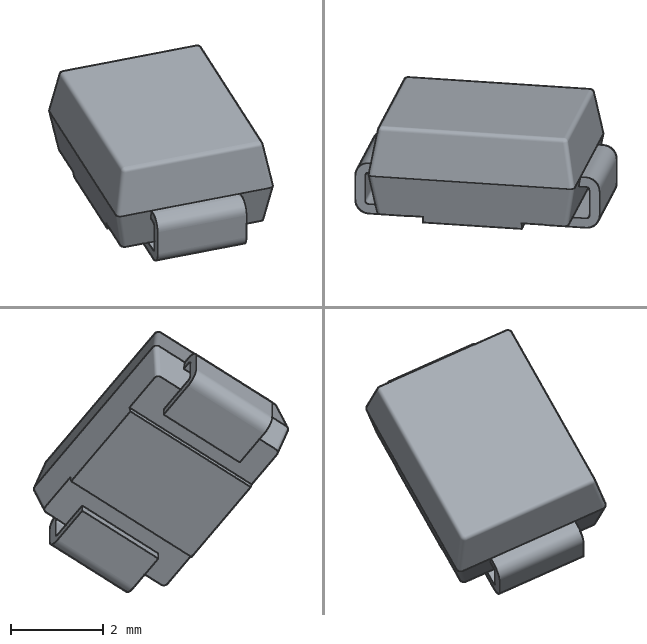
import cadquery as cq
import math

overall_length = 5.4
overall_height = 2.25

body_length = 4.56
body_width = 3.62
parting_z = 1.17
draft_angle = 10.0
edge_radius = 0.1

pad_length = 2.18
pad_bottom_z = 0.1
step_z = 0.245

lead_width = 2.045
lead_thickness = 0.22
lead_outer_radius = 0.3
lead_inner_radius = lead_outer_radius - lead_thickness
lead_foot_length = 1.2
lead_embed_depth = 0.325


def drafted_half(height):
    """Rectangular block narrowing upward from Z = 0."""
    return (
        cq.Workplane("XY")
        .rect(body_length, body_width)
        .extrude(height, taper=draft_angle)
    )


def upper_half():
    """Top of the body, rounded on its corner edges and top rim."""
    half = drafted_half(overall_height - parting_z)
    half = half.edges("not (<Z)").fillet(edge_radius)
    return half.translate((0, 0, parting_z))


def lower_half():
    """Bottom of the body, rounded on its corner edges and stepped up at both ends."""
    half = drafted_half(parting_z - pad_bottom_z)
    half = half.edges("not (|X or |Y)").fillet(edge_radius)
    half = half.mirror("XY").translate((0, 0, parting_z))
    step_length = (body_length - pad_length) / 2
    for side in (-1, 1):
        step_cutter = cq.Workplane("XY").box(
            step_length, body_width, step_z, centered=(True, True, False)
        )
        half = half.cut(step_cutter.translate((side * (pad_length + step_length) / 2, 0, 0)))
    return half


def left_lead():
    """C-shaped strip: leaves the body below the parting plane and folds under it."""
    outer_x = -overall_length / 2
    inner_x = outer_x + lead_thickness
    embedded_x = -body_length / 2 + lead_embed_depth
    foot_x = outer_x + lead_foot_length
    arm_bottom_z = parting_z - lead_thickness

    def bend(center_x, center_z, radius, z_direction):
        """Midpoint of a quarter bend on the outer (-X) side."""
        offset = radius * math.sqrt(0.5)
        return (center_x - offset, center_z + z_direction * offset)

    bend_x = outer_x + lead_outer_radius
    upper_bend_z = parting_z - lead_outer_radius
    lower_bend_z = lead_outer_radius
    return (
        cq.Workplane("XZ")
        .moveTo(embedded_x, parting_z)
        .lineTo(bend_x, parting_z)
        .threePointArc(bend(bend_x, upper_bend_z, lead_outer_radius, 1), (outer_x, upper_bend_z))
        .lineTo(outer_x, lower_bend_z)
        .threePointArc(bend(bend_x, lower_bend_z, lead_outer_radius, -1), (bend_x, 0))
        .lineTo(foot_x, 0)
        .lineTo(foot_x, lead_thickness)
        .lineTo(bend_x, lead_thickness)
        .threePointArc(bend(bend_x, lower_bend_z, lead_inner_radius, -1), (inner_x, lower_bend_z))
        .lineTo(inner_x, upper_bend_z)
        .threePointArc(bend(bend_x, upper_bend_z, lead_inner_radius, 1), (bend_x, arm_bottom_z))
        .lineTo(embedded_x, arm_bottom_z)
        .close()
        .extrude(lead_width / 2, both=True)
    )


lead = left_lead()
result = upper_half().union(lower_half()).union(lead).union(lead.mirror("YZ"))